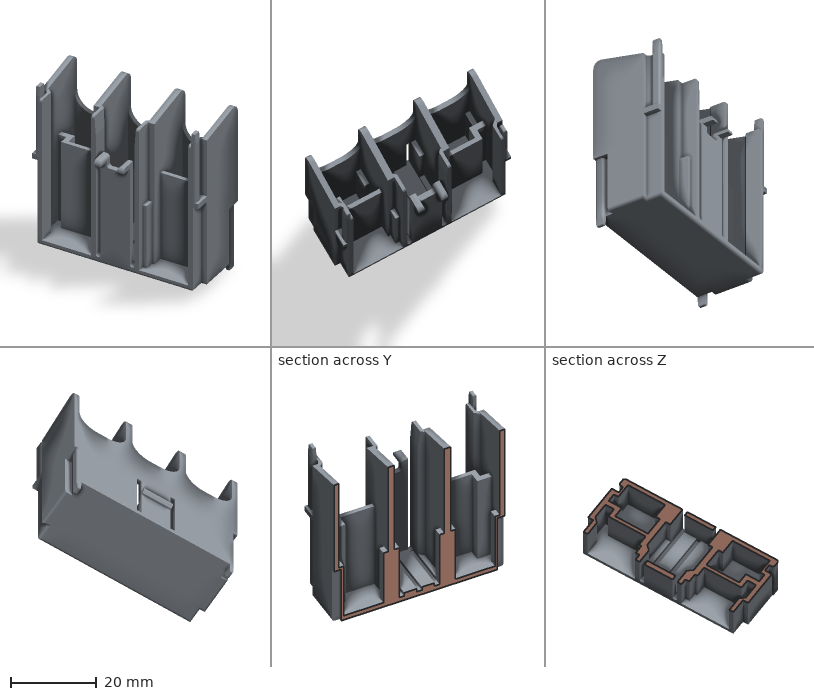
import cadquery as cq


half_width = 22.5
depth = 18.35
total_height = 46.1
underside = 2.7
floor_top = 4.15
bottom_round = 0.7

plate_front = 4.1
plate_front_top = 42.7
plate_rear_top = 45.65
plate_corner_radius = 1.95
inner_plate_in = 6.5
inner_plate_out = 8.25
outer_plate_in = 21.05

wall_front = 17.1
sill_height = 30.85
opening_radius = 5.0
thickening_front = 13.0
thickening_width = 1.25
thickening_top = 19.25

divider_front = 6.95
divider_front_back = 8.0
divider_step_front = 9.45
divider_step_back = 10.9
divider_step_in = 17.35
divider_step_out = 18.75
divider_top = 27.85

lip_width = 1.25
lip_chamfer_end = 5.15
lip_chamfer_start = 4.05
lip_edge_radius = 0.7
lip_taper = 0.35
lip_taper_start = 37.8
stub_front = 1.7
stub_outside = 7.55
stub_top = 21.2

rung_bottom = 25.85
rung_top = 27.35
rail_base = 20.55
rail_face = 21.75
rail_width = 2.35
rail_radius = 0.6
groove_slope = 0.75
pocket_front = 14.25
pocket_top = 18.4
lug_face = 21.5
lug_inset = 0.25
lug_root = 43.5
lug_tip_radius = 0.28

tongue_half_width = 4.0
tongue_thickness = 1.45
slot_outside = 5.25
slot_bottom = 4.35
slot_round = 0.6
notch_half_width = 2.2
notch_bottom = 29.6
notch_radius = 0.7
hook_bottom = 31.35
hook_top = 32.7
hook_reach = 2.95
hook_front_radius = 1.1
hook_side_radius = 0.9
tab_bottom = 12.85
tab_top = 14.3
tab_reach = 1.05
tab_chamfer = 0.6
floor_pad_in = 0.622
floor_pad_height = 0.9


def block(x_range, y_range, z_range):
    """Box between pairs of limits along X, Y and Z."""
    sizes = [b - a for a, b in (x_range, y_range, z_range)]
    corner = (x_range[0], y_range[0], z_range[0])
    return cq.Workplane("XY").box(*sizes, centered=False).translate(corner)


def prism_z(points, bottom, top):
    """Outline in X and Y, extruded upwards."""
    return cq.Workplane("XY").workplane(offset=bottom).polyline(points).close().extrude(top - bottom)


def prism_y(points, front, back):
    """Outline in X and Z, extruded backwards."""
    return cq.Workplane("XZ").workplane(offset=-back).polyline(points).close().extrude(back - front)


def prism_x(points, inside, outside):
    """Outline in Y and Z, extruded outwards."""
    return cq.Workplane("YZ").workplane(offset=inside).polyline(points).close().extrude(outside - inside)


def both_sides(solid):
    return solid.union(solid.mirror("YZ"))


def envelope():
    """Full footprint, narrower in front of the plates, with the lower front and side edges rounded."""
    half_plan = [
        (0, 0),
        (outer_plate_in, 0),
        (outer_plate_in, plate_front),
        (half_width, plate_front),
        (half_width, depth),
        (0, depth),
    ]
    solid = both_sides(prism_z(half_plan, underside, total_height)).clean()
    return solid.edges("<Z").edges("not >Y").fillet(bottom_round)


def plate(inside, outside):
    side = [
        (plate_front, underside),
        (plate_front, plate_front_top),
        (depth, plate_rear_top),
        (depth, underside),
    ]
    return prism_x(side, inside, outside).edges(">Y and >Z").fillet(plate_corner_radius)


def opening(inside, outside):
    """Round-bottomed opening in the rear wall between two plates."""
    cutter = block((inside, outside), (wall_front, depth), (sill_height, total_height + opening_radius))
    return cutter.edges("|Y and <Z").fillet(opening_radius)


def rear_wall():
    wall = block((-half_width, half_width), (wall_front, depth), (underside, plate_front_top))
    wall = wall.cut(opening(-inner_plate_in, inner_plate_in))
    wall = wall.cut(both_sides(opening(inner_plate_out, outer_plate_in)))
    slot = block((tongue_half_width, slot_outside), (wall_front, depth), (floor_top, thickening_top))
    return wall.cut(both_sides(slot))


def thickenings():
    """Thicker plate feet along the rear wall, on the inner faces of every bay."""
    feet = None
    for start in (slot_outside, inner_plate_out, outer_plate_in - thickening_width):
        foot = block(
            (start, start + thickening_width), (thickening_front, wall_front), (underside, thickening_top)
        )
        feet = foot if feet is None else feet.union(foot)
    return feet


def divider():
    """Stepped wall across an outer bay."""
    outline = [
        (inner_plate_out, divider_front),
        (divider_step_out, divider_front),
        (divider_step_out, divider_step_front),
        (outer_plate_in, divider_step_front),
        (outer_plate_in, divider_step_back),
        (divider_step_in, divider_step_back),
        (divider_step_in, divider_front_back),
        (inner_plate_out, divider_front_back),
    ]
    return prism_z(outline, underside, divider_top)


def lip(root, free):
    """Upright lip in front of a plate face at X = root, reaching sideways to X = free."""
    plan = [
        (root, 0),
        (root, lip_chamfer_end),
        (free, lip_chamfer_start),
        (free, 0),
    ]
    return prism_z(plan, underside, plate_front_top).edges(">Z and <Y").fillet(lip_edge_radius)


def inner_lip():
    solid = lip(inner_plate_in, slot_outside)
    taper = [
        (slot_outside, lip_taper_start),
        (slot_outside + lip_taper, plate_front_top),
        (slot_outside, plate_front_top),
    ]
    return solid.cut(prism_y(taper, 0, lip_chamfer_end))


def stub():
    return block((inner_plate_in, stub_outside), (stub_front, plate_front), (underside, stub_top))


def groove():
    """Relief behind the front rail, cut into the outer face of the outer lip."""
    plan = [
        (rail_base, 0),
        (rail_base, plate_front - groove_slope),
        (outer_plate_in, plate_front),
        (outer_plate_in, 0),
    ]
    return prism_z(plan, rung_top, total_height)


def rung():
    return block((rail_base, half_width), (0, plate_front), (rung_bottom, rung_top))


def front_rail():
    """Rounded upright rail on the rung, tapering above its root into a lug."""
    rail = block((rail_base, rail_face), (0, rail_width), (rung_top, total_height))
    rail = rail.edges("|Z and >X").fillet(rail_radius)
    face_taper = [
        (rail_base, rung_top),
        (rail_face, rung_top),
        (rail_face, lug_root),
        (lug_face, total_height),
        (rail_base, total_height),
    ]
    width_taper = [
        (0, rung_top),
        (0, lug_root),
        (lug_inset, total_height),
        (rail_width - lug_inset, total_height),
        (rail_width, lug_root),
        (rail_width, rung_top),
    ]
    lug = prism_y(face_taper, 0, rail_width).intersect(prism_x(width_taper, rail_base, rail_face))
    lug = lug.faces(">Z").edges().fillet(lug_tip_radius)
    return rail.intersect(lug)


def rear_rail():
    """The front rail turned half a turn about X, so that its lug points down at the rear."""
    return front_rail().rotate((0, 0, 0), (1, 0, 0), 180).translate((0, depth, total_height))


def rear_pocket():
    return block((rail_base, half_width), (pocket_front, depth), (0, pocket_top))


def front_tongue():
    """Front panel of the middle bay, slotted at both sides into a spring tongue that carries the hooks."""
    thickness = (0, tongue_thickness)
    panel = block((-inner_plate_in, inner_plate_in), thickness, (underside, hook_bottom))
    slot = block((tongue_half_width, slot_outside), thickness, (slot_bottom, total_height))
    panel = panel.cut(both_sides(slot.edges("|Y and <Z").fillet(slot_round)))
    notch = block((-notch_half_width, notch_half_width), thickness, (notch_bottom, total_height))
    return panel.cut(notch.edges("|Y and <Z").fillet(notch_radius))


def hook():
    """Bar on top of the tongue, rounded along its front and its inner upper edge."""
    bar = block(
        (notch_half_width, tongue_half_width), (-hook_reach, tongue_thickness), (hook_bottom, hook_top)
    )
    front_rounded = bar.edges("<Y and >Z").fillet(hook_front_radius)
    side_rounded = bar.edges("<X and >Z").fillet(hook_side_radius)
    return front_rounded.intersect(side_rounded)


def rear_tab():
    side = [
        (depth, tab_bottom),
        (depth + tab_reach - tab_chamfer, tab_bottom),
        (depth + tab_reach, tab_bottom + tab_chamfer),
        (depth + tab_reach, tab_top),
        (depth, tab_top),
    ]
    return prism_x(side, -tongue_half_width, tongue_half_width)


def floor_pads():
    """Slightly raised floor of the middle bay, with grooves along the centre and behind the slots."""
    y_range = (tongue_thickness, wall_front)
    z_range = (underside, floor_top + floor_pad_height)
    middle = block((floor_pad_in, tongue_half_width), y_range, z_range)
    return middle.union(block((slot_outside, inner_plate_in), y_range, z_range))


floor = block((-half_width, half_width), (0, depth), (underside, floor_top))
side_walls = plate(inner_plate_in, inner_plate_out).union(plate(outer_plate_in, half_width))
for detail in (
    thickenings(),
    divider(),
    inner_lip(),
    lip(outer_plate_in, outer_plate_in - lip_width),
    stub(),
    floor_pads(),
):
    side_walls = side_walls.union(detail)
body = floor.union(rear_wall()).union(both_sides(side_walls)).union(front_tongue())
body = body.intersect(envelope())

body = body.cut(both_sides(groove().union(rear_pocket())))
body = body.union(both_sides(rung().union(front_rail())))
body = body.union(both_sides(rear_rail()))

result = body.union(both_sides(hook())).union(rear_tab())